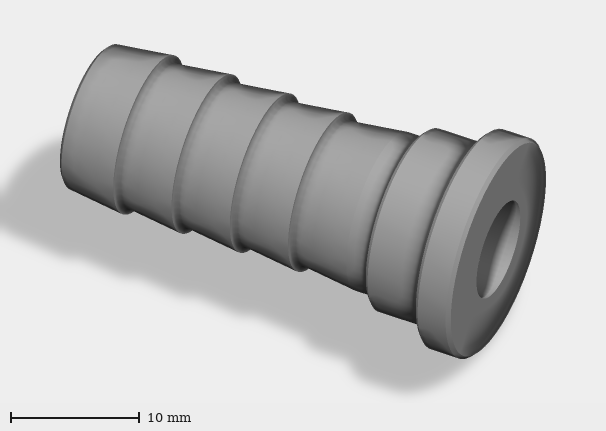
import cadquery as cq

total_length = 35.0
bore_radius = 8.0 / 2

barb_count = 5
barb_pitch = 5.0
barb_crest_radius = 13.0 / 2
barb_root_radius = 11.8 / 2

shoulder_start = 27.0
shoulder_radius = 15.0 / 2
flange_thickness = 3.0
flange_start = total_length - flange_thickness
flange_radius = 18.0 / 2

edge_chamfer = 0.3
root_fillet = 0.4
match_tolerance = 0.01


def turned_body():
    """Solid of revolution with sharp corners."""
    profile = cq.Workplane("XY").moveTo(0, bore_radius)
    for barb in range(barb_count):
        profile = profile.lineTo(barb * barb_pitch, barb_root_radius)
        profile = profile.lineTo((barb + 1) * barb_pitch, barb_crest_radius)
    profile = (
        profile.lineTo(shoulder_start, barb_crest_radius)
        .lineTo(shoulder_start, shoulder_radius)
        .lineTo(flange_start, shoulder_radius)
        .lineTo(flange_start, flange_radius)
        .lineTo(total_length, flange_radius)
        .lineTo(total_length, bore_radius)
        .close()
    )
    return profile.revolve(360, (0, 0, 0), (1, 0, 0))


def circles_at(body, places):
    """Circular edges of the body at the given (x, radius) places."""

    def is_wanted(edge):
        return any(
            abs(edge.Center().x - x) < match_tolerance and abs(edge.radius() - radius) < match_tolerance
            for x, radius in places
        )

    return body.edges("%CIRCLE").filter(is_wanted)


def fillet_roots(body):
    """Round the inner corners behind the barbs, at the shoulder and at the flange."""
    roots = [(barb * barb_pitch, barb_root_radius) for barb in range(1, barb_count)]
    roots.append((shoulder_start, barb_crest_radius))
    roots.append((flange_start, shoulder_radius))
    return circles_at(body, roots).fillet(root_fillet)


def chamfer_rims(body):
    """Break the outer edges and the mouth of the bore at the hose end."""
    rims = [
        (0, bore_radius),
        (0, barb_root_radius),
        (shoulder_start, shoulder_radius),
        (flange_start, flange_radius),
        (total_length, flange_radius),
    ]
    return circles_at(body, rims).chamfer(edge_chamfer)


result = chamfer_rims(fillet_roots(turned_body()))